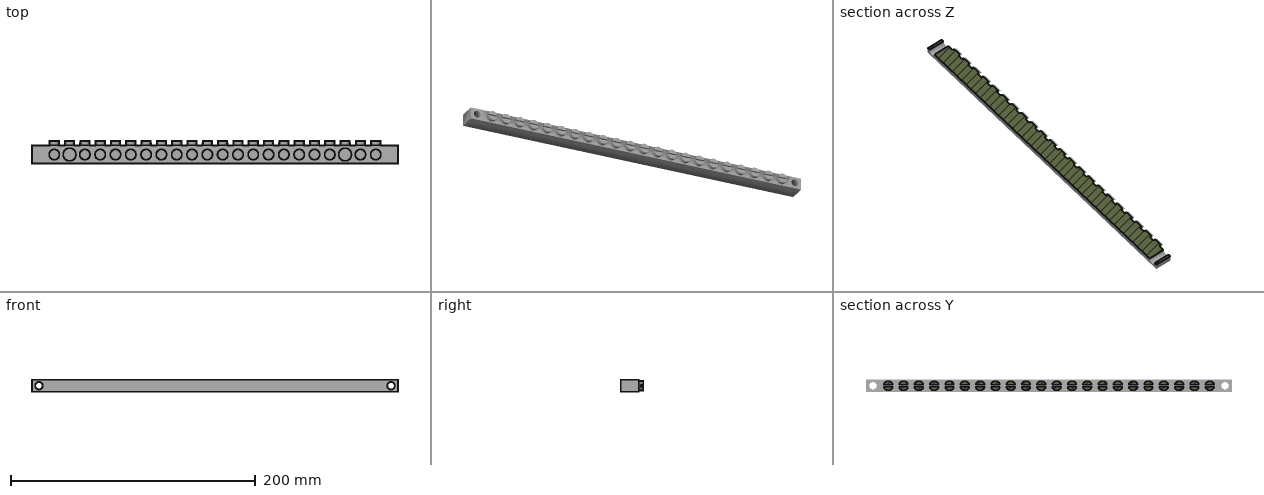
import cadquery as cq

bar_length = 299.0
bar_depth = 15.0
bar_height = 10.0

terminal_count = 22
terminal_pitch = 12.5
port_diameter = 8.5
large_port_diameter = 10.5
ports_before_first_large = 1
ports_after_last_large = 2
port_recess = 0.6

screw_diameter = 8.0
screw_projection = 3.7
slot_width = 1.2
slot_depth = 2.0

mount_hole_diameter = 6.0
mount_hole_inset = 5.75

first_terminal_x = -terminal_pitch * (terminal_count - 1) / 2
terminal_xs = [first_terminal_x + i * terminal_pitch for i in range(terminal_count)]
large_port_indices = (ports_before_first_large, terminal_count - 1 - ports_after_last_large)
back_face_y = bar_depth / 2
top_face_z = bar_height / 2


def make_bar():
    """Plain rectangular bar centred on the origin."""
    return cq.Workplane("XY").box(bar_length, bar_depth, bar_height)


def make_mount_holes():
    """Cylinders that pass through the bar along Y near each end."""
    hole_x = bar_length / 2 - mount_hole_inset
    return (
        cq.Workplane("XZ", origin=(0, back_face_y, 0))
        .pushPoints([(-hole_x, 0), (hole_x, 0)])
        .circle(mount_hole_diameter / 2)
        .extrude(bar_depth)
    )


def make_port(index):
    """Shallow round recess in the top face."""
    diameter = large_port_diameter if index in large_port_indices else port_diameter
    return (
        cq.Workplane("XY", origin=(terminal_xs[index], 0, top_face_z))
        .circle(diameter / 2)
        .extrude(-port_recess)
    )


def make_screw(x):
    """Slotted screw head standing on the back face, with its slot along X."""
    tip_y = back_face_y + screw_projection
    head = (
        cq.Workplane("XZ", origin=(x, back_face_y, 0))
        .circle(screw_diameter / 2)
        .extrude(-screw_projection)
    )
    slot = cq.Workplane("XY").box(screw_diameter, slot_depth, slot_width)
    return head.cut(slot.translate((x, tip_y - slot_depth / 2, 0)))


result = make_bar().cut(make_mount_holes())
for index, x in enumerate(terminal_xs):
    result = result.cut(make_port(index))
    result = result.union(make_screw(x))